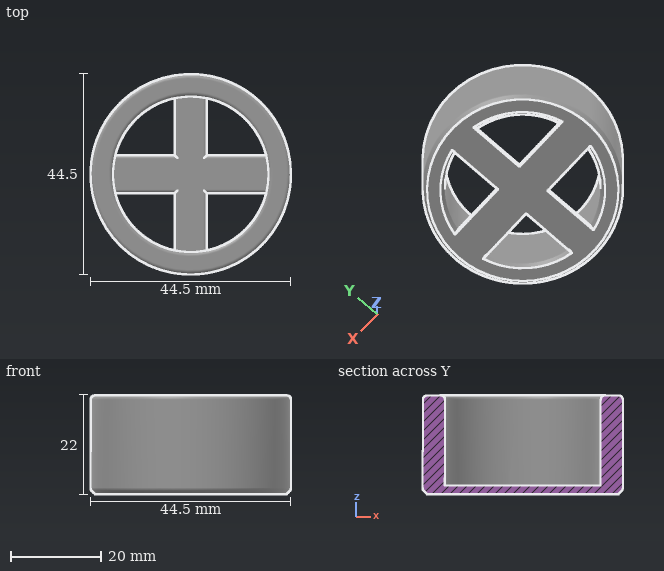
import cadquery as cq

outer_diameter = 44.5
bore_diameter = 34.5
height = 22.0
top_rounding = 1.0
bottom_chamfer = 1.02
chamfer_blend = 0.8

spoke_x_width = 8.45
spoke_y_width = 7.15
spoke_height = 2.0
spoke_rounding = 0.8


def make_ring():
    """Tube with rounded top rims and softened chamfers along both bottom edges."""
    ring = cq.Workplane("XY").circle(outer_diameter / 2).circle(bore_diameter / 2).extrude(height)
    ring = ring.faces("<Z").edges().chamfer(bottom_chamfer)
    chamfer_top_edges = cq.selectors.BoxSelector(
        (-outer_diameter, -outer_diameter, bottom_chamfer / 2),
        (outer_diameter, outer_diameter, height / 2),
        boundingbox=True,
    )
    ring = ring.edges(chamfer_top_edges).fillet(chamfer_blend)
    return ring.faces(">Z").edges().fillet(top_rounding)


def make_spokes():
    """Cross with rounded upper edges, trimmed to end inside the ring wall."""
    centered = (True, True, False)
    spoke_x = cq.Workplane("XY").box(outer_diameter, spoke_x_width, spoke_height, centered=centered)
    spoke_y = cq.Workplane("XY").box(spoke_y_width, outer_diameter, spoke_height, centered=centered)
    cross = spoke_x.union(spoke_y).faces(">Z").edges().fillet(spoke_rounding)
    trim_radius = (bore_diameter + outer_diameter) / 4
    return cross.intersect(cq.Workplane("XY").circle(trim_radius).extrude(spoke_height))


result = make_ring().union(make_spokes())